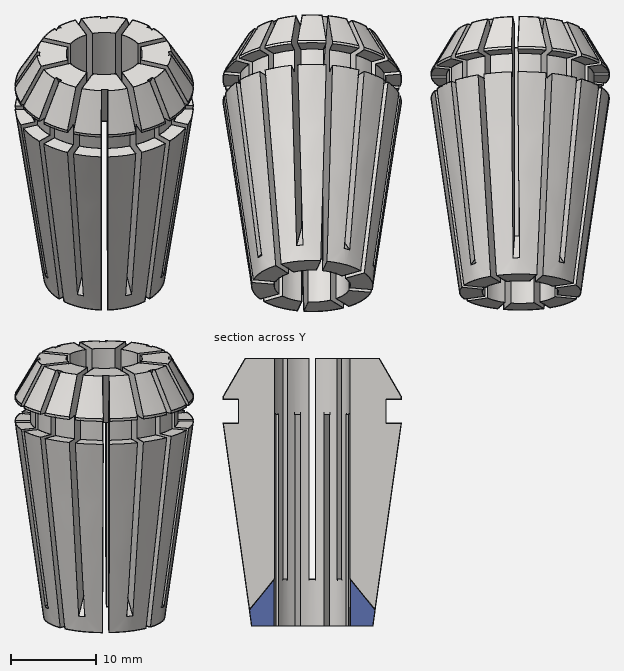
import cadquery as cq
import math

LENGTH = 31.5
MAX_RADIUS = 10.5
BORE_RADIUS = 4.47

TAPER_ANGLE = 8.0
TAPER_TOP_Z = 23.88
BASE_RADIUS = MAX_RADIUS - TAPER_TOP_Z * math.tan(math.radians(TAPER_ANGLE))

GROOVE_RADIUS = 8.7
GROOVE_TOP_Z = 26.68

HEAD_ANGLE = 30.0
RIM_HEIGHT = 0.3
RIM_TOP_Z = GROOVE_TOP_Z + RIM_HEIGHT
TOP_RADIUS = MAX_RADIUS - (LENGTH - RIM_TOP_Z) * math.tan(math.radians(HEAD_ANGLE))

SLOT_WIDTH = 0.75
SLOTS_PER_SET = 8
SLOT_PITCH = 360.0 / SLOTS_PER_SET
CLEARANCE = 1.58
CUT_RADIUS = MAX_RADIUS + CLEARANCE

FLOOR_BORE_Z = 5.55
FLOOR_OUTER_Z = 1.92
FLOOR_OUTER_RADIUS = BASE_RADIUS + FLOOR_OUTER_Z * math.tan(math.radians(TAPER_ANGLE))

ROOF_BORE_Z = 24.9
ROOF_TOP_RADIUS = 7.6


def collet_body():
    """Revolve the bored half section about the Z axis."""
    return (
        cq.Workplane("XZ")
        .moveTo(BORE_RADIUS, 0)
        .lineTo(BASE_RADIUS, 0)
        .lineTo(MAX_RADIUS, TAPER_TOP_Z)
        .lineTo(GROOVE_RADIUS, TAPER_TOP_Z)
        .lineTo(GROOVE_RADIUS, GROOVE_TOP_Z)
        .lineTo(MAX_RADIUS, GROOVE_TOP_Z)
        .lineTo(MAX_RADIUS, RIM_TOP_Z)
        .lineTo(TOP_RADIUS, LENGTH)
        .lineTo(BORE_RADIUS, LENGTH)
        .close()
        .revolve(360, (0, 0), (0, 1))
    )


def slot_cutter(outline):
    """Make a radial blade along +X from an outline of (radius, z) points."""
    return cq.Workplane("XZ").polyline(outline).close().extrude(SLOT_WIDTH / 2, both=True)


def cut_slots(body, cutter, first_angle):
    """Cut one evenly spaced set of slots around the Z axis."""
    for index in range(SLOTS_PER_SET):
        angle = first_angle + index * SLOT_PITCH
        body = body.cut(cutter.rotate((0, 0, 0), (0, 0, 1), angle))
    return body


top_slot = slot_cutter([
    (0, FLOOR_BORE_Z),
    (BORE_RADIUS, FLOOR_BORE_Z),
    (FLOOR_OUTER_RADIUS, FLOOR_OUTER_Z),
    (CUT_RADIUS, FLOOR_OUTER_Z),
    (CUT_RADIUS, LENGTH + CLEARANCE),
    (0, LENGTH + CLEARANCE),
])
bottom_slot = slot_cutter([
    (0, -CLEARANCE),
    (CUT_RADIUS, -CLEARANCE),
    (CUT_RADIUS, LENGTH + CLEARANCE),
    (ROOF_TOP_RADIUS, LENGTH + CLEARANCE),
    (ROOF_TOP_RADIUS, LENGTH),
    (BORE_RADIUS, ROOF_BORE_Z),
    (0, ROOF_BORE_Z),
])

result = cut_slots(collet_body(), top_slot, 0)
result = cut_slots(result, bottom_slot, SLOT_PITCH / 2)